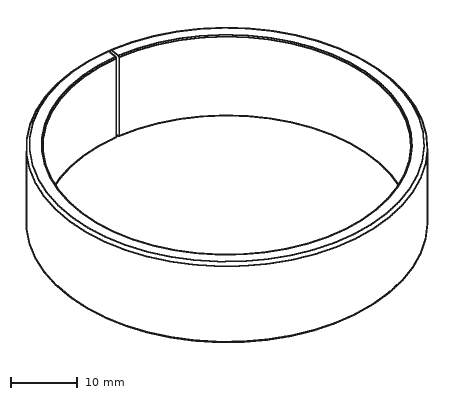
import cadquery as cq

outer_diameter = 60.0
wall_thickness = 2.5
height = 15.0
gap_angle = 1.0
outer_chamfer = 0.5
inner_chamfer = 0.2

outer_radius = outer_diameter / 2
inner_radius = outer_radius - wall_thickness
half_height = height / 2


def wall_section():
    """Wall cross-section on the -X side of the XZ plane, with all four corners chamfered."""
    outer_flat = half_height - outer_chamfer
    inner_flat = half_height - inner_chamfer
    rim_outer = outer_radius - outer_chamfer
    rim_inner = inner_radius + inner_chamfer
    return (
        cq.Workplane("XZ")
        .moveTo(-rim_inner, -half_height)
        .lineTo(-rim_outer, -half_height)
        .lineTo(-outer_radius, -outer_flat)
        .lineTo(-outer_radius, outer_flat)
        .lineTo(-rim_outer, half_height)
        .lineTo(-rim_inner, half_height)
        .lineTo(-inner_radius, inner_flat)
        .lineTo(-inner_radius, -inner_flat)
        .close()
    )


def split_ring():
    """Sweep the section counterclockwise about Z, stopping short to leave the gap."""
    return wall_section().revolve(360 - gap_angle, (0, 0, 0), (0, 1, 0))


result = split_ring()